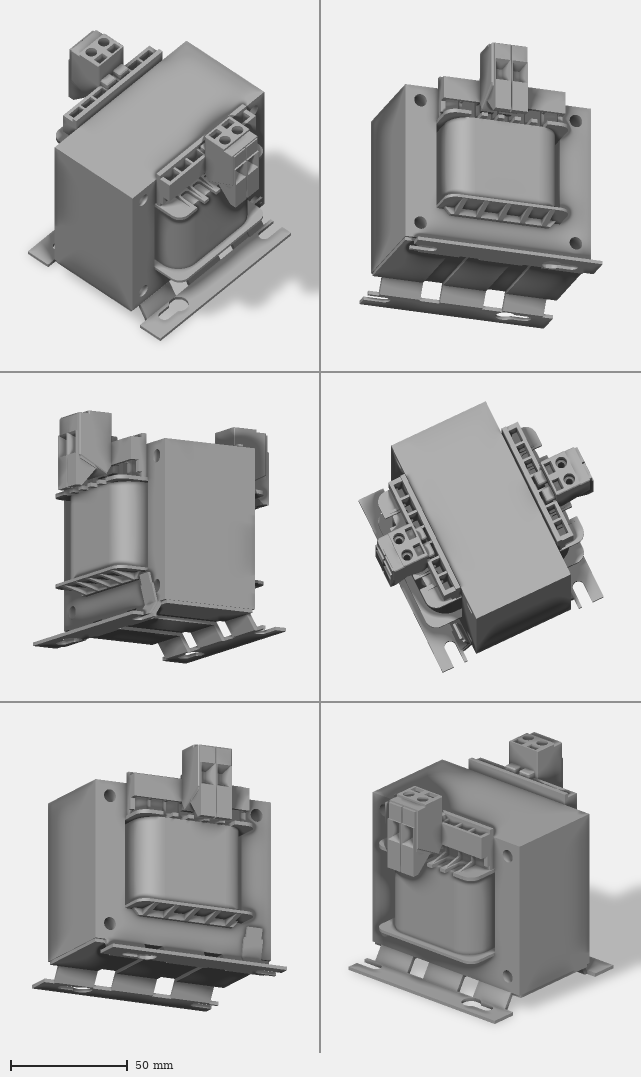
import cadquery as cq


CORE_X = 45.0
CORE_Y = 84.4
CORE_BOTTOM = 7.95
CORE_TOP = 78.4
CORE_HALF = CORE_X / 2
WINDOW_Y = 56.0
CORE_HOLE_D = 5.7
CORE_HOLE_Y = 35.3
CORE_HOLE_Z = (15.0, 71.8)

FLANGE_X = 74.8
FLANGE_CORNER = 5.0
LOWER_FLANGE_Z = (22.8, 24.1)
UPPER_FLANGE_Z = (62.0, 63.65)
COIL_X = 68.1
COIL_Y = 49.3
COIL_CORNER = 10.0
CORE_GAP = 0.6
CORE_GAP_Y = 27.8

LOWER_RIB_PITCH = 9.95
LOWER_RIB_COUNT = 5
LOWER_RIB_THICK = 2.2
LOWER_RIB_TIP = 36.8
SKIRT_BOTTOM = 19.8
SKIRT_TOP_Y = 50.4
SKIRT_BOTTOM_Y = 45.2

CARRIER_Y = 55.3
BACK_WALL_INNER = 23.1
BACK_WALL_OUTER = 25.2
BACK_WALL_TOP = 82.8
CHANNEL_OUTER = 30.8
CHANNEL_WALL = 1.5
CHANNEL_BOTTOM = 70.9
CHANNEL_TOP = 80.9
CHANNEL_END = 2.0
DIVIDER_PITCH = 7.45
DIVIDER_COUNT = 6
DIVIDER_THICK = 1.05
DIVIDER_FOOT_X = 27.0
RIB_CREST_Z = 65.85
UPPER_RIB_TIP = 35.6
WIRE_SLOT_INNER = 27.1
WIRE_SLOT_WIDTH = 4.7
WIRE_SLOT_CORNER = 1.5

POLE_PITCH = 8.0
BLOCK_Y = 16.4
BLOCK_CENTRE_Y = 3.15
BLOCK_INNER = 30.6
BLOCK_OUTER = 46.65
BLOCK_TOP = 93.75
BLOCK_LEDGE_X = 42.0
BLOCK_LEDGE_Z = 92.6
BLOCK_SHOULDER_Z = 74.1
BLOCK_TIP = (32.9, 66.9)
BLOCK_HEEL_Z = 70.4
BLOCK_EDGE = 0.4
SCREW_X = 38.6
SCREW_HEAD_D = 5.0
SCREW_HEAD_DEPTH = 6.0
SCREW_HOLE_D = 3.0
TEST_POCKET_X = (31.4, 34.8)
TEST_POCKET_Y = 5.2
TEST_POCKET_DEPTH = 6.0
TEST_POCKET_TAPER = 0.6
HOOK_INNER = 26.6
HOOK_WIDTH = 5.8
HOOK_TOP = 84.0
HOOK_CHAMFER = 0.5
LATCH_OUTER = 29.1
LATCH_BOTTOM = 67.7

CLAMP_PITCH = 7.75
CLAMP_CENTRE_Y = 2.95
CLAMP_WIDTH = 7.1
CLAMP_OUTER = 48.65
CLAMP_STEP = 0.75
CLAMP_STEP_Z = 84.6
CLAMP_TOP = 91.9
CLAMP_BOTTOM = 61.6
CLAMP_FOOT = 3.0
CLAMP_NECK = (38.0, 68.8)
LINER_HEEL_Z = 72.6
LINER_INSET = 0.4
RIGHT_CLAMP_DROP = 0.65
FUNNEL_Z = (75.0, 84.6)
FUNNEL_WIDTH = 6.6
THROAT_Z = (77.0, 81.8)
THROAT_WIDTH = 2.6
FUNNEL_DEPTH = 5.0

BASE_Y = 83.8
BASE_THICK = 1.5
BEND_TOP_X = 22.6
BEND_FOOT_X = 26.5
BEND_END_X = 27.1
BEND_RISE = 0.15
BEND_SHIFT = 1.2
FOOT_END = 38.3
LEG_CENTRE_Y = 28.0
LEG_OUTER_Y = 18.4
LEG_MIDDLE_Y = 19.5
SLOT_X = 30.5
SLOT_WIDTH = 5.1
OPEN_SLOT_END_Y = 30.7
KEY_SLOT_END_Y = -33.2
KEY_HOLE_Y = -21.5
KEY_HOLE_D = 8.4

EARTH_CENTRE_Y = 32.2
EARTH_WIDTH = 9.0
EARTH_TIP_WIDTH = 7.2
EARTH_THICK = 1.1
EARTH_BEND = (22.8, 7.6)
EARTH_FOOT = (26.2, 2.2)
EARTH_TOP = (27.2, 20.4)
EARTH_SHOULDER_Z = 15.9


def box(x_range, y_centre, y_width, z_range):
    """Box from X and Z limits and a width centred in Y."""
    x_size = x_range[1] - x_range[0]
    z_size = z_range[1] - z_range[0]
    corner = (x_range[0], y_centre - y_width / 2, z_range[0])
    return cq.Workplane("XY").box(x_size, y_width, z_size, centered=False).translate(corner)


def prism(points, y_centre, y_width):
    """X-Z outline extruded along Y, centred on y_centre."""
    outline = cq.Workplane("XZ", origin=(0, y_centre, 0)).polyline(points).close()
    return outline.extrude(y_width / 2, both=True)


def rounded_slab(x_size, y_size, corner, z_range):
    slab = box((-x_size / 2, x_size / 2), 0, y_size, z_range)
    return slab.edges("|Z").fillet(corner)


def both_sides(shape):
    return shape.union(shape.mirror("YZ"))


def row(count, pitch, centre=0):
    """Evenly spaced positions centred on a point."""
    return [centre + (i - (count - 1) / 2) * pitch for i in range(count)]


def make_core():
    core = box((-CORE_HALF, CORE_HALF), 0, CORE_Y, (CORE_BOTTOM, CORE_TOP))
    window = box((-CORE_X, CORE_X), 0, WINDOW_Y, (LOWER_FLANGE_Z[0], UPPER_FLANGE_Z[1]))
    core = core.cut(window)
    hole_points = [(side * CORE_HOLE_Y, z) for side in (-1, 1) for z in CORE_HOLE_Z]
    holes = cq.Workplane("YZ").pushPoints(hole_points).circle(CORE_HOLE_D / 2)
    return core.cut(holes.extrude(CORE_X, both=True))


def make_winding():
    coil = rounded_slab(COIL_X, COIL_Y, COIL_CORNER, (LOWER_FLANGE_Z[1], UPPER_FLANGE_Z[0]))
    for flange_z in (LOWER_FLANGE_Z, UPPER_FLANGE_Z):
        coil = coil.union(rounded_slab(FLANGE_X, WINDOW_Y, FLANGE_CORNER, flange_z))
    gap = box((CORE_HALF, CORE_HALF + CORE_GAP), 0, CORE_GAP_Y, (CORE_BOTTOM, CORE_TOP))
    return coil.cut(both_sides(gap))


def make_lower_ribs():
    flange_bottom = LOWER_FLANGE_Z[0]
    skirt_outline = [
        (-SKIRT_TOP_Y / 2, flange_bottom),
        (-SKIRT_BOTTOM_Y / 2, SKIRT_BOTTOM),
        (SKIRT_BOTTOM_Y / 2, SKIRT_BOTTOM),
        (SKIRT_TOP_Y / 2, flange_bottom),
    ]
    skirt = cq.Workplane("YZ", origin=(BACK_WALL_INNER, 0, 0)).polyline(skirt_outline).close()
    ribs = skirt.extrude(BACK_WALL_OUTER - BACK_WALL_INNER)
    rib_outline = [
        (BACK_WALL_OUTER, flange_bottom),
        (BACK_WALL_OUTER, SKIRT_BOTTOM),
        (LOWER_RIB_TIP, flange_bottom),
    ]
    for y in row(LOWER_RIB_COUNT, LOWER_RIB_PITCH):
        ribs = ribs.union(prism(rib_outline, y, LOWER_RIB_THICK))
    return ribs


def make_carrier():
    """Back wall with an open channel, dividers and flange ribs, on the +X side."""
    flange_top = UPPER_FLANGE_Z[1]
    channel_z = (CHANNEL_BOTTOM, CHANNEL_TOP)
    foot_z = (RIB_CREST_Z, CHANNEL_BOTTOM)
    end_offset = (CARRIER_Y - CHANNEL_END) / 2
    carrier = box((BACK_WALL_INNER, BACK_WALL_OUTER), 0, CARRIER_Y, (flange_top, BACK_WALL_TOP))
    carrier = carrier.union(box((CHANNEL_OUTER - CHANNEL_WALL, CHANNEL_OUTER), 0, CARRIER_Y, channel_z))
    for y in (-end_offset, end_offset):
        carrier = carrier.union(box((BACK_WALL_OUTER, CHANNEL_OUTER), y, CHANNEL_END, channel_z))
        carrier = carrier.union(box((BACK_WALL_OUTER, DIVIDER_FOOT_X), y, CHANNEL_END, foot_z))
    divider_outline = [
        (BACK_WALL_OUTER, flange_top),
        (UPPER_RIB_TIP, flange_top),
        (DIVIDER_FOOT_X, RIB_CREST_Z),
        (DIVIDER_FOOT_X, CHANNEL_BOTTOM),
        (CHANNEL_OUTER, CHANNEL_BOTTOM),
        (CHANNEL_OUTER, CHANNEL_TOP),
        (BACK_WALL_OUTER, CHANNEL_TOP),
    ]
    for y in row(DIVIDER_COUNT, DIVIDER_PITCH):
        carrier = carrier.union(prism(divider_outline, y, DIVIDER_THICK))
    return carrier


def make_wire_slots():
    """Slots in the upper flange between neighbouring ribs, open at the flange edge."""
    slots = cq.Workplane("XY")
    for y in row(DIVIDER_COUNT - 1, DIVIDER_PITCH):
        slot = box((WIRE_SLOT_INNER, FLANGE_X), y, WIRE_SLOT_WIDTH, UPPER_FLANGE_Z)
        slots = slots.union(slot.edges("|Z and <X").fillet(WIRE_SLOT_CORNER))
    return slots


def make_funnel(y, outer):
    """Tapered wire entry narrowing inward from the outer face of a clamp."""
    mouth_z = sum(FUNNEL_Z) / 2
    throat_z = sum(THROAT_Z) / 2
    mouth = cq.Workplane("YZ", origin=(outer, y, mouth_z)).rect(FUNNEL_WIDTH, FUNNEL_Z[1] - FUNNEL_Z[0])
    throat = mouth.workplane(offset=-FUNNEL_DEPTH).center(0, throat_z - mouth_z)
    return throat.rect(THROAT_WIDTH, THROAT_Z[1] - THROAT_Z[0]).loft(ruled=True)


def make_clamp(y, drop):
    """Clamp body of one pole, seated lower and further in by the drop."""
    outer = CLAMP_OUTER - drop
    outline = [
        (outer, CLAMP_STEP_Z),
        (outer, CLAMP_BOTTOM - drop),
        (outer - CLAMP_FOOT, CLAMP_BOTTOM - drop),
        CLAMP_NECK,
        (BLOCK_TIP[0], BLOCK_HEEL_Z),
        (BLOCK_LEDGE_X, CLAMP_TOP),
        (outer - CLAMP_STEP, CLAMP_TOP),
        (outer - CLAMP_STEP, CLAMP_STEP_Z),
    ]
    return prism(outline, y, CLAMP_WIDTH)


def make_block_body():
    outline = [
        (BLOCK_INNER, BLOCK_TOP),
        (BLOCK_LEDGE_X, BLOCK_TOP),
        (BLOCK_LEDGE_X, BLOCK_LEDGE_Z),
        (BLOCK_OUTER, BLOCK_LEDGE_Z),
        (BLOCK_OUTER, BLOCK_SHOULDER_Z),
        BLOCK_TIP,
        (BLOCK_INNER, BLOCK_HEEL_Z),
    ]
    body = prism(outline, BLOCK_CENTRE_Y, BLOCK_Y)
    return body.faces("<Y or >Y").chamfer(BLOCK_EDGE)


def make_liner(drop):
    """Inner body of the block, showing below the sloped underside of the shell."""
    outer = BLOCK_OUTER - drop
    outline = [
        (outer, BLOCK_SHOULDER_Z),
        (outer, LINER_HEEL_Z),
        CLAMP_NECK,
        (BLOCK_LEDGE_X, BLOCK_SHOULDER_Z),
    ]
    return prism(outline, BLOCK_CENTRE_Y, BLOCK_Y - 2 * LINER_INSET)


def make_hook(y):
    """Hook over the channel with a latch below it."""
    hook = box((HOOK_INNER, BLOCK_INNER), y, HOOK_WIDTH, (CHANNEL_BOTTOM, HOOK_TOP))
    hook = hook.edges("|Z and <X").chamfer(HOOK_CHAMFER)
    hook = hook.faces(">Z").edges("not(>X)").chamfer(HOOK_CHAMFER)
    latch = box((DIVIDER_FOOT_X, LATCH_OUTER), y, HOOK_WIDTH, (LATCH_BOTTOM, CHANNEL_BOTTOM))
    return hook.union(latch)


def make_terminal_block(clamp_drop):
    """Two-pole terminal block on the +X side."""
    poles = row(2, POLE_PITCH, BLOCK_CENTRE_Y)
    clamps = row(2, CLAMP_PITCH, CLAMP_CENTRE_Y)
    pocket_bottom = BLOCK_TOP - TEST_POCKET_DEPTH
    pocket_outline = [
        (TEST_POCKET_X[0], BLOCK_TOP),
        (TEST_POCKET_X[0], pocket_bottom),
        (TEST_POCKET_X[1] - TEST_POCKET_TAPER, pocket_bottom),
        (TEST_POCKET_X[1], BLOCK_TOP),
    ]
    block = make_block_body().union(make_liner(clamp_drop))
    for y in clamps:
        block = block.union(make_clamp(y, clamp_drop))
    for y in clamps:
        block = block.cut(make_funnel(y, CLAMP_OUTER - clamp_drop))
    for y in poles:
        block = block.union(make_hook(y))
        block = block.cut(prism(pocket_outline, y, TEST_POCKET_Y))
        screw_top = cq.Workplane("XY", origin=(SCREW_X, y, BLOCK_TOP))
        block = block.cut(screw_top.circle(SCREW_HEAD_D / 2).extrude(-SCREW_HEAD_DEPTH))
        block = block.cut(screw_top.circle(SCREW_HOLE_D / 2).extrude(CLAMP_BOTTOM - BLOCK_TOP))
    return block


def make_base():
    """Three plate strips under the core, each bent down at both ends to a common foot."""
    plate_edge = BEND_TOP_X - BEND_SHIFT
    plate_bottom = CORE_BOTTOM - BASE_THICK
    foot_edge = BEND_FOOT_X - BEND_SHIFT
    leg_outline = [
        (plate_edge, CORE_BOTTOM),
        (BEND_TOP_X, CORE_BOTTOM),
        (BEND_FOOT_X, BASE_THICK + BEND_RISE),
        (BEND_FOOT_X, 0),
        (foot_edge, 0),
        (plate_edge, plate_bottom),
    ]
    foot_section = [
        (BEND_FOOT_X, 0),
        (BEND_FOOT_X, BASE_THICK + BEND_RISE),
        (BEND_END_X, BASE_THICK),
        (FOOT_END, BASE_THICK),
        (FOOT_END, 0),
    ]
    foot = prism(foot_section, 0, BASE_Y).cut(make_foot_slots())
    plate_x = (0, plate_edge)
    plate_z = (plate_bottom, CORE_BOTTOM)
    foot = foot.union(prism(leg_outline, 0, LEG_MIDDLE_Y))
    foot = foot.union(box(plate_x, 0, LEG_MIDDLE_Y, plate_z))
    strip_y = BASE_Y / 2 - LEG_CENTRE_Y + LEG_OUTER_Y / 2
    for side in (-1, 1):
        foot = foot.union(prism(leg_outline, side * LEG_CENTRE_Y, LEG_OUTER_Y))
        foot = foot.union(box(plate_x, side * (BASE_Y - strip_y) / 2, strip_y, plate_z))
    return both_sides(foot)


def make_foot_slots():
    """Open slot at the +Y end and a keyhole near the -Y end of a foot."""
    radius = SLOT_WIDTH / 2
    slot_x = (SLOT_X - radius, SLOT_X + radius)
    cut_z = (-BASE_THICK, 2 * BASE_THICK)
    cut_height = cut_z[1] - cut_z[0]
    open_centre_y = OPEN_SLOT_END_Y + radius
    key_centre_y = KEY_SLOT_END_Y + radius
    open_length = BASE_Y - open_centre_y
    key_length = KEY_HOLE_Y - key_centre_y
    sketch = cq.Workplane("XY", origin=(0, 0, cut_z[0]))
    slots = box(slot_x, open_centre_y + open_length / 2, open_length, cut_z)
    slots = slots.union(box(slot_x, key_centre_y + key_length / 2, key_length, cut_z))
    round_ends = sketch.pushPoints([(SLOT_X, open_centre_y), (SLOT_X, key_centre_y)]).circle(radius)
    slots = slots.union(round_ends.extrude(cut_height))
    key_hole = sketch.center(SLOT_X, KEY_HOLE_Y).circle(KEY_HOLE_D / 2)
    return slots.union(key_hole.extrude(cut_height))


def make_earth_tab():
    """Bent strip lying on the +X leg and rising outward beside the core."""
    outline = [
        EARTH_BEND,
        EARTH_FOOT,
        (EARTH_FOOT[0] + EARTH_THICK, EARTH_FOOT[1]),
        (EARTH_BEND[0] + EARTH_THICK, EARTH_BEND[1]),
        EARTH_TOP,
        (EARTH_TOP[0] - EARTH_THICK, EARTH_TOP[1]),
    ]
    tab = prism(outline, EARTH_CENTRE_Y, EARTH_WIDTH)
    trim_width = (EARTH_WIDTH - EARTH_TIP_WIDTH) / 2
    trim_offset = (EARTH_WIDTH - trim_width) / 2
    trim_z = (EARTH_SHOULDER_Z, EARTH_TOP[1])
    for side in (-1, 1):
        trim_y = EARTH_CENTRE_Y + side * trim_offset
        tab = tab.cut(box((CORE_HALF, FOOT_END), trim_y, trim_width, trim_z))
    return tab


result = make_core().union(make_winding())
result = result.union(both_sides(make_lower_ribs()))
result = result.union(both_sides(make_carrier()))
result = result.cut(both_sides(make_wire_slots()))
result = result.union(make_base())
result = result.union(make_earth_tab())
result = result.union(make_terminal_block(RIGHT_CLAMP_DROP))
result = result.union(make_terminal_block(0).mirror("YZ"))